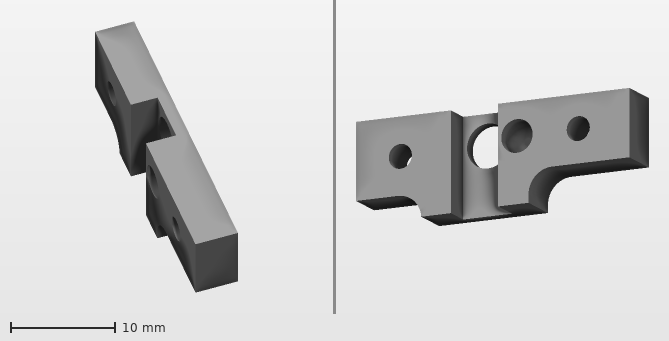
import cadquery as cq
import math

length = 29.2
height = 10.17
right_depth = 4.32
left_depth = 3.97

slot_left = 10.08
slot_right = 15.28
web_depth = 1.25

foot_left = 6.92
foot_right = 18.5
left_arm_height = 7.83
right_arm_height = 6.85
corner_radius = 2.48

screw_diameter = 2.45
screw_centers = [(4.7, -3.95), (23.78, -3.42)]
window_diameter = 4.45
window_center = (12.7, -3.18)

pocket_center = (17.25, -3.42)
pocket_diameter = 3.33
pocket_floor_diameter = 0.8
pocket_wall_depth = 1.25


def front_outline():
    """Closed outline of the arms and foot; extrudes toward -Y."""
    arc_center_z = -left_arm_height - corner_radius
    end_rise = -height - arc_center_z
    end_run = math.sqrt(corner_radius**2 - end_rise**2)
    arc_center_x = foot_left - end_run
    mid_angle = (math.asin(end_rise / corner_radius) + math.pi / 2) / 2
    left_arc_middle = (
        arc_center_x + corner_radius * math.cos(mid_angle),
        arc_center_z + corner_radius * math.sin(mid_angle),
    )
    right_arc_middle = (
        foot_right + corner_radius * (1 - math.sqrt(0.5)),
        -right_arm_height - corner_radius * (1 - math.sqrt(0.5)),
    )
    return (
        cq.Workplane("XZ")
        .moveTo(0, 0)
        .lineTo(length, 0)
        .lineTo(length, -right_arm_height)
        .lineTo(foot_right + corner_radius, -right_arm_height)
        .threePointArc(right_arc_middle, (foot_right, -right_arm_height - corner_radius))
        .lineTo(foot_right, -height)
        .lineTo(foot_left, -height)
        .threePointArc(left_arc_middle, (arc_center_x, -left_arm_height))
        .lineTo(0, -left_arm_height)
        .close()
    )


def front_cut(x_start, x_end, kept_depth):
    """Full-height block that removes everything in front of kept_depth."""
    return cq.Workplane("XY").box(
        x_end - x_start, right_depth - kept_depth, height, centered=False
    ).translate((x_start, -right_depth, -height))


def through_holes(centers, diameter):
    return cq.Workplane("XZ").pushPoints(centers).circle(diameter / 2).extrude(right_depth)


def round_bottomed_pocket():
    """Cylinder whose inner end is rounded down to a small flat floor."""
    floor_radius = (pocket_diameter - pocket_floor_diameter) / 2
    pocket_depth = pocket_wall_depth + floor_radius
    return (
        cq.Workplane("XZ", origin=(0, pocket_depth - right_depth, 0))
        .center(*pocket_center)
        .circle(pocket_diameter / 2)
        .extrude(pocket_depth)
        .faces(">Y")
        .edges()
        .fillet(floor_radius)
    )


result = (
    front_outline()
    .extrude(right_depth)
    .cut(front_cut(0, slot_left, left_depth))
    .cut(front_cut(slot_left, slot_right, web_depth))
    .cut(through_holes(screw_centers, screw_diameter))
    .cut(through_holes([window_center], window_diameter))
    .cut(round_bottomed_pocket())
)